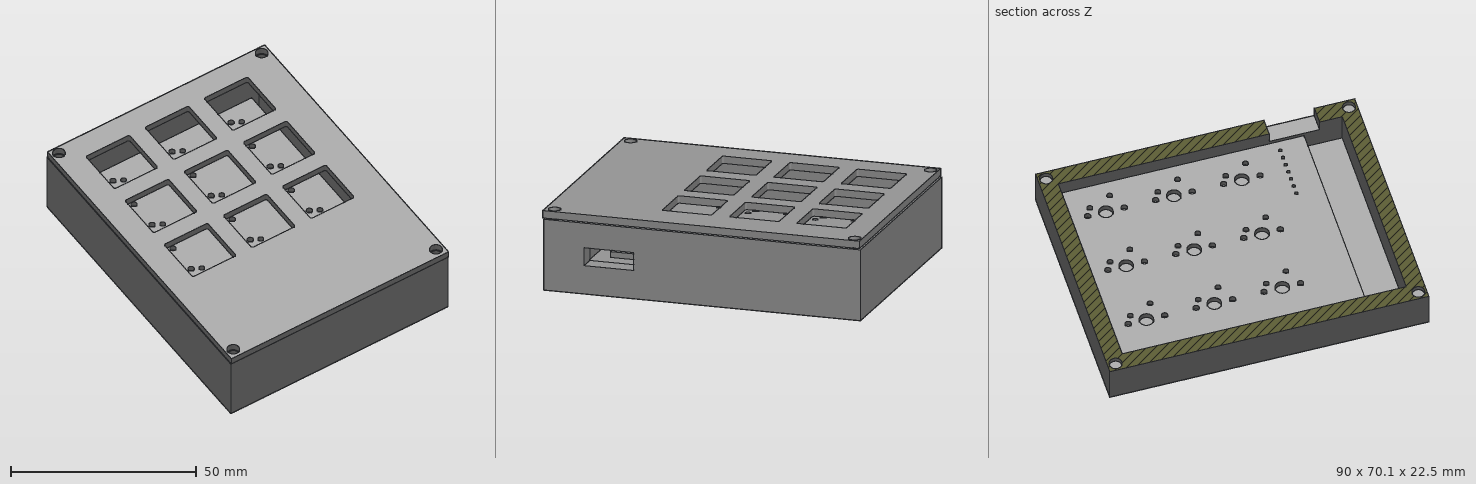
import cadquery as cq

case_length = 89.7
case_width = 70.1
case_height = 20.0
wall = 5.0
floor_thickness = 2.0

cover_shift = 0.3
cover_gap = 0.4
cover_thickness = 2.1
cover_base = case_height + cover_gap

key_rows = 3
key_columns = 3
key_pitch = 19.1
key_opening = 14.0
key_corner_radius = 0.5
key_start_x = 4.9
key_start_y = 5.1

screw_diameter = 3.4
screw_inset = 2.3
screw_depth = 10.0

board_thickness = 1.6
board_top = 10.3
board_x = 5.2
board_y = 5.4
board_length = 68.05
board_width = key_rows * key_pitch
board_base = board_top - board_thickness

stem_diameter = 4.0
peg_diameter = 1.7
peg_offset = 5.1
contact_diameter = 1.5
contacts = [(-3.8, 2.5), (2.5, 5.0)]

header_diameter = 0.89
header_pitch = 2.5
header_count = 7
header_x = 65.7
header_last_y = 59.7

port_left = 64.3
port_length = 14.0
port_base = 8.0
port_height = wall

screw_centers = [
    (x, y)
    for x in (screw_inset, case_length - screw_inset)
    for y in (screw_inset, case_width - screw_inset)
]


def block(length, width, height, corner):
    """Box with its lowest front left corner at the given point."""
    return cq.Workplane("XY").box(length, width, height, centered=False).translate(corner)


def key_grid(start_x, start_y):
    """Middle of every key, for a grid that starts at the given front left corner."""
    return [
        (start_x + (column + 0.5) * key_pitch, start_y + (row + 0.5) * key_pitch)
        for column in range(key_columns)
        for row in range(key_rows)
    ]


def drills(points, diameter, base, height):
    """Upright cylinders at the given points, for cutting round holes."""
    return cq.Workplane("XY").workplane(offset=base).pushPoints(points).circle(diameter / 2).extrude(height)


def make_case():
    body = block(case_length, case_width, case_height, (0, 0, 0))
    inner_size = (case_length - 2 * wall, case_width - 2 * wall, case_height - floor_thickness)
    cavity = block(*inner_size, (wall, wall, floor_thickness))
    port = block(port_length, wall, port_height, (port_left, case_width - wall, port_base))
    screw_holes = drills(screw_centers, screw_diameter, case_height - screw_depth, screw_depth)
    return body.cut(cavity).cut(port).cut(screw_holes)


def make_cover():
    plate = block(case_length, case_width, cover_thickness, (cover_shift, 0, cover_base))
    key_openings = (
        cq.Workplane("XY")
        .workplane(offset=cover_base)
        .pushPoints(key_grid(key_start_x, key_start_y))
        .rect(key_opening, key_opening)
        .extrude(cover_thickness)
        .edges("|Z")
        .fillet(key_corner_radius)
    )
    screw_holes = drills(screw_centers, screw_diameter, cover_base, cover_thickness)
    return plate.cut(key_openings).cut(screw_holes)


def make_board():
    board = block(board_length, board_width, board_thickness, (board_x, board_y, board_base))
    pegs = [(-peg_offset, 0), (peg_offset, 0)]
    hole_sets = [(stem_diameter, [(0, 0)]), (peg_diameter, pegs), (contact_diameter, contacts)]
    for diameter, offsets in hole_sets:
        points = [(x + dx, y + dy) for x, y in key_grid(board_x, board_y) for dx, dy in offsets]
        board = board.cut(drills(points, diameter, board_base, board_thickness))
    header = [(header_x, header_last_y - pin * header_pitch) for pin in range(header_count)]
    return board.cut(drills(header, header_diameter, board_base, board_thickness))


case = make_case()
cover = make_cover()
board = make_board()

result = cq.Compound.makeCompound([case.val(), cover.val(), board.val()])